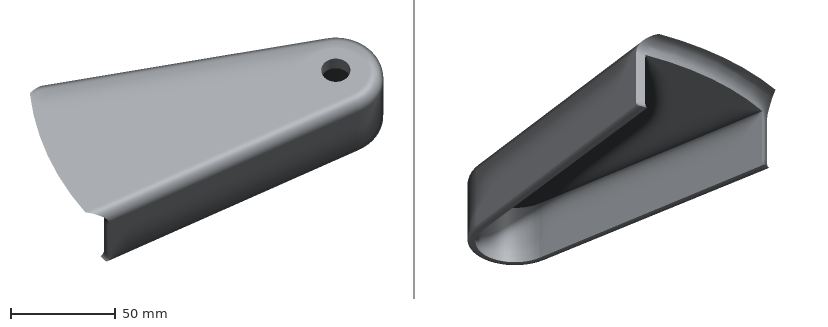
import cadquery as cq
import math

height = 38.1
total_length = 170.35
nose_radius = 22.8
outer_half_angle = 8.635
top_fillet = 6.35
bottom_fillet = 1.5
hole_diameter = 14.0

top_thickness = 7.7
cavity_nose_radius = 18.95
cavity_half_angle = 8.2

end_radius = total_length - nose_radius
end_cove_radius = 9.2
end_flare_height = 3.5
end_flare_reach = 1.8
wall_end_radius = end_radius - end_cove_radius
trim_margin = 20.0


def tapered_outline(radius, half_angle, front_y):
    """Outline with a round nose and two straight sides tangent to it, widening toward -Y."""
    angle = math.radians(half_angle)
    tangent_x = radius * math.cos(angle)
    tangent_y = radius * math.sin(angle)
    front_x = tangent_x + (tangent_y - front_y) * math.tan(angle)
    return (
        cq.Workplane("XY")
        .moveTo(-front_x, front_y)
        .lineTo(-tangent_x, tangent_y)
        .threePointArc((0, radius), (tangent_x, tangent_y))
        .lineTo(front_x, front_y)
        .close()
    )


def outer_block():
    """Solid tapered block with a rounded top rim and a lightly rounded bottom rim."""
    block = tapered_outline(nose_radius, outer_half_angle, -end_radius - trim_margin).extrude(height)
    block = block.faces(">Z").edges("not <Y").fillet(top_fillet)
    return block.faces("<Z").edges("not <Y").fillet(bottom_fillet)


def cavity():
    """Tapered pocket that leaves the top plate and the side walls."""
    front_y = -end_radius - 2 * trim_margin
    outline = tapered_outline(cavity_nose_radius, cavity_half_angle, front_y)
    return outline.extrude(height - top_thickness)


def end_envelope():
    """Turned body kept at the wide end: coved below the top edge, flared out at the bottom."""
    cove_bottom = height - end_cove_radius
    diagonal = end_cove_radius * math.sqrt(0.5)
    cove_middle = (end_radius - diagonal, cove_bottom + diagonal)
    flare_radius = (end_flare_height**2 + end_flare_reach**2) / (2 * end_flare_reach)
    return (
        cq.Workplane("XZ")
        .lineTo(wall_end_radius + end_flare_reach, 0)
        .radiusArc((wall_end_radius, end_flare_height), flare_radius)
        .lineTo(wall_end_radius, cove_bottom)
        .threePointArc(cove_middle, (end_radius, height))
        .lineTo(0, height)
        .close()
        .revolve(360, (0, 0, 0), (0, 1, 0))
    )


def pivot_hole():
    """Through hole on the nose centre."""
    return cq.Workplane("XY").circle(hole_diameter / 2).extrude(height)


result = outer_block().cut(cavity()).intersect(end_envelope()).cut(pivot_hole())